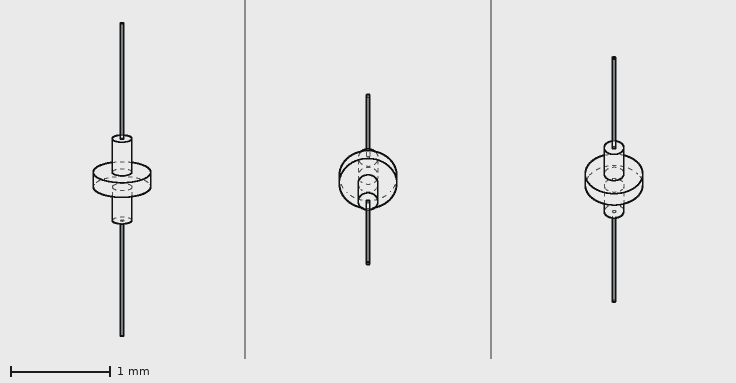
import cadquery as cq

pin_length = 3.38
pin_diameter = 0.035
sleeve_length = 0.885
sleeve_diameter = 0.2
disc_thickness = 0.16
disc_diameter = 0.58


def centred_cylinder(length, diameter):
    """Cylinder along Z, centred on the origin."""
    return cq.Workplane("XY").cylinder(length, diameter / 2)


pin = centred_cylinder(pin_length, pin_diameter)
sleeve = centred_cylinder(sleeve_length, sleeve_diameter)
disc = centred_cylinder(disc_thickness, disc_diameter)

result = disc.union(sleeve).union(pin)